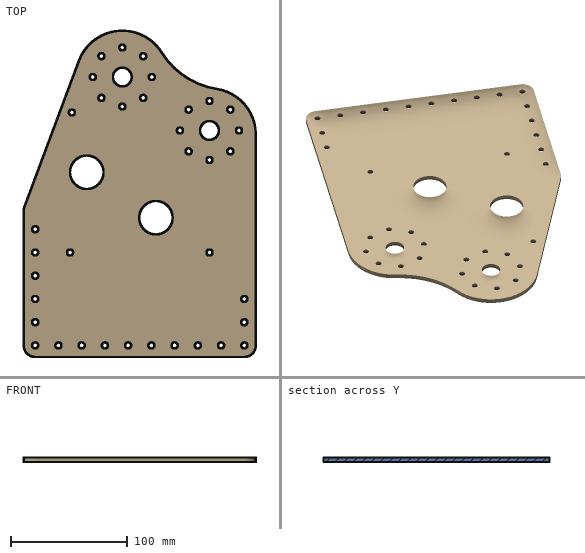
import cadquery as cq
import math

PLATE_WIDTH = 200.0
PLATE_THICKNESS = 4.0
PLATE_HEIGHT = 281.03
CORNER_RADIUS = 10.0
LEFT_EDGE_BEND_Y = 125.8

LOBE_RADIUS = 40.0
VALLEY_RADIUS = 68.0
LEFT_LOBE_X = 85.0
RIGHT_LOBE_Y = 191.38
LEFT_LOBE = (LEFT_LOBE_X, PLATE_HEIGHT - LOBE_RADIUS)
RIGHT_LOBE = (PLATE_WIDTH - LOBE_RADIUS, RIGHT_LOBE_Y)

BORE_DIAMETER = 16.0
BOLT_CIRCLE_DIAMETER = 50.8
BOLT_COUNT = 8
BOLT_CIRCLE_DROP = 46.0
RIGHT_BOLT_CIRCLE = (RIGHT_LOBE[0], LEFT_LOBE[1] - BOLT_CIRCLE_DROP)
BOLT_CIRCLE_CENTRES = [LEFT_LOBE, RIGHT_BOLT_CIRCLE]

OPENING_DIAMETER = 28.6
OPENING_CENTRES = [(54.4, 159.05), (113.9, 119.95)]

SMALL_HOLE_DIAMETER = 5.1
EDGE_MARGIN = 10.0
HOLE_PITCH = 20.0
BOTTOM_HOLE_COUNT = 10
LEFT_HOLE_COUNT = 6
RIGHT_HOLE_COUNT = 3
FACE_HOLES = [(40.0, 90.0), (160.0, 90.0), (41.6, 210.5)]


def polar(centre, radius, angle):
    """Point at an angle (radians) on a circle."""
    return (centre[0] + radius * math.cos(angle), centre[1] + radius * math.sin(angle))


def direction(start, end):
    """Angle (radians) of the line from start to end."""
    return math.atan2(end[1] - start[1], end[0] - start[0])


def arc_to(path, centre, radius, start_angle, end_angle):
    """Extend a path along a circle, from start_angle to end_angle."""
    middle_angle = (start_angle + end_angle) / 2
    return path.threePointArc(
        polar(centre, radius, middle_angle),
        polar(centre, radius, end_angle),
    )


def valley_centre():
    """Centre of the concave arc, tangent to both lobes and lying above them."""
    half_gap = math.dist(LEFT_LOBE, RIGHT_LOBE) / 2
    lift_angle = math.acos(half_gap / (LOBE_RADIUS + VALLEY_RADIUS))
    return polar(LEFT_LOBE, LOBE_RADIUS + VALLEY_RADIUS, direction(LEFT_LOBE, RIGHT_LOBE) + lift_angle)


def make_plate():
    right_corner = (PLATE_WIDTH - CORNER_RADIUS, CORNER_RADIUS)
    left_corner = (CORNER_RADIUS, CORNER_RADIUS)
    bend = (CORNER_RADIUS, LEFT_EDGE_BEND_Y)
    valley = valley_centre()

    right_join = direction(RIGHT_LOBE, valley)
    left_join = direction(LEFT_LOBE, valley)

    slope_turn = math.acos((CORNER_RADIUS - LOBE_RADIUS) / math.dist(bend, LEFT_LOBE))
    slope_normal = direction(bend, LEFT_LOBE) + slope_turn

    path = cq.Workplane("XY").moveTo(CORNER_RADIUS, 0).lineTo(right_corner[0], 0)
    path = arc_to(path, right_corner, CORNER_RADIUS, -math.pi / 2, 0)
    path = path.lineTo(PLATE_WIDTH, RIGHT_LOBE[1])
    path = arc_to(path, RIGHT_LOBE, LOBE_RADIUS, 0, right_join)
    path = arc_to(path, valley, VALLEY_RADIUS, right_join - math.pi, left_join - math.pi)
    path = arc_to(path, LEFT_LOBE, LOBE_RADIUS, left_join, slope_normal)
    path = path.lineTo(*polar(bend, CORNER_RADIUS, slope_normal))
    path = arc_to(path, bend, CORNER_RADIUS, slope_normal, math.pi)
    path = path.lineTo(0, CORNER_RADIUS)
    path = arc_to(path, left_corner, CORNER_RADIUS, math.pi, 3 * math.pi / 2)
    return path.close().extrude(PLATE_THICKNESS)


def hole_tools(centres, diameter):
    """Cylinders through the plate thickness at each centre."""
    return cq.Workplane("XY").pushPoints(centres).circle(diameter / 2).extrude(PLATE_THICKNESS)


def edge_hole_centres():
    """Evenly pitched holes along the bottom edge and up both sides."""
    right_x = PLATE_WIDTH - EDGE_MARGIN
    bottom = [(EDGE_MARGIN + i * HOLE_PITCH, EDGE_MARGIN) for i in range(BOTTOM_HOLE_COUNT)]
    left = [(EDGE_MARGIN, EDGE_MARGIN + i * HOLE_PITCH) for i in range(1, LEFT_HOLE_COUNT)]
    right = [(right_x, EDGE_MARGIN + i * HOLE_PITCH) for i in range(1, RIGHT_HOLE_COUNT)]
    return bottom + left + right


def bolt_centres(centre):
    """Equally spaced holes around a bore."""
    step = 2 * math.pi / BOLT_COUNT
    return [polar(centre, BOLT_CIRCLE_DIAMETER / 2, i * step) for i in range(BOLT_COUNT)]


small_holes = edge_hole_centres() + FACE_HOLES
for bore_centre in BOLT_CIRCLE_CENTRES:
    small_holes += bolt_centres(bore_centre)

result = (
    make_plate()
    .cut(hole_tools(small_holes, SMALL_HOLE_DIAMETER))
    .cut(hole_tools(BOLT_CIRCLE_CENTRES, BORE_DIAMETER))
    .cut(hole_tools(OPENING_CENTRES, OPENING_DIAMETER))
)